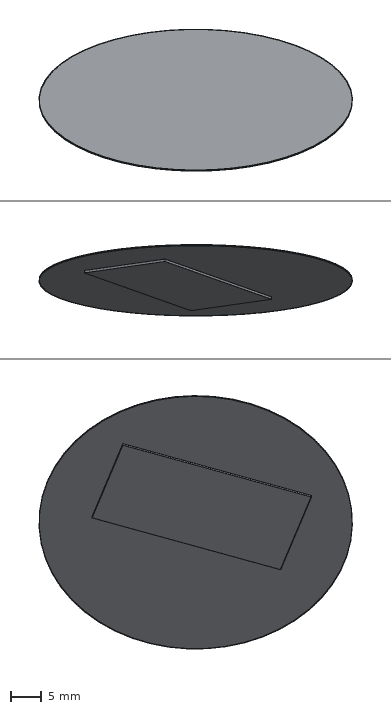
import cadquery as cq

disc_diameter = 52.0
total_thickness = 0.6
disc_thickness = 0.2

pad_thickness = total_thickness - disc_thickness
pad_length = 33.05
pad_width = 15.8
pad_center_x = 0.15
pad_center_y = 3.6


def make_disc():
    """Disc with its underside at Z = 0."""
    return cq.Workplane("XY").circle(disc_diameter / 2).extrude(disc_thickness)


def make_pad():
    """Rectangular pad hanging below the disc."""
    return (
        cq.Workplane("XY")
        .center(pad_center_x, pad_center_y)
        .rect(pad_length, pad_width)
        .extrude(-pad_thickness)
    )


result = make_disc().union(make_pad())